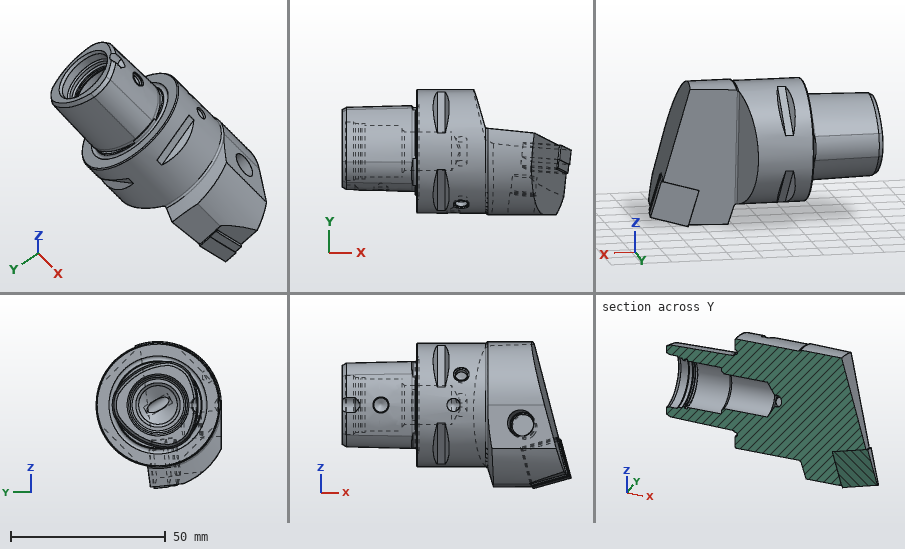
import cadquery as cq
import math


FLANGE_RADIUS = 20.02
FLANGE_END = 22.35
FLANGE_CHAMFER = 0.4
BOSS_RADIUS = 14.2
BOSS_HEIGHT = 0.45
BOSS_CHAMFER = 0.3
RELIEF_RADIUS = 0.8

SHANK_LENGTH = 24.0
SHANK_CHAMFER_LENGTH = 1.4
SHANK_CHAMFER_DEPTH = 0.8
TAPER_END = -1.5
POLYGON_RADIUS = 13.9
POLYGON_LOBE = 0.9
TAPER_PER_SIDE = 1 / 40
LOBE_HALF_ANGLE = 16

ENTRY_RADIUS = 10.0
ENTRY_DEPTH = 1.0
GUIDE_RADIUS = 9.5
GUIDE_DEPTH = 3.7
NECK_RADIUS = 8.95
NECK_DEPTH = 5.3
SEAT_RADIUS = 8.35
SEAT_DEPTH = 19.25
RING_GROOVE_START = 6.45
RING_GROOVE_END = 7.3
BORE_MOUTH_RADIUS = 7.2
BORE_RADIUS = 12.5 / 2
DRILL_TIP_HALF_ANGLE = 59
COOLANT_X = 14.5
BORE_TIP_X = COOLANT_X + 0.6

COOLANT_DIAMETER = 3.55
COOLANT_OVERRUN = 4.45
COOLANT_ANGLE = 30
NOZZLE_DIAMETER = 4.0
NOZZLE_MOUTH_DIAMETER = 5.0
NOZZLE_MOUTH_DEPTH = 0.6
NOZZLE_DEPTH = 2.2
DIMPLE_DIAMETER = 4.2
DIMPLE_X = 12.0
DIMPLE_DEPTH = 0.75
SHANK_HOLE_DIAMETER = 4.6
SHANK_HOLE_MOUTH_DIAMETER = 5.2
SHANK_HOLE_X = -11.5
SHANK_HOLE_DEPTH = 1.5
SHANK_MOUTH_DEPTH = 0.75
KEYWAY_DIAMETER = 5.5
KEYWAY_OFFSET = 13.7
KEYWAY_LENGTH = 4.15
KEYWAY_TIP_HALF_ANGLE = 45

SLOT_X = 8.0
SLOT_FLOOR_WIDTH = 2.5
SLOT_FLOOR_RADIUS = 17.7
SLOT_SIDE_ANGLE = 30

HEAD_RADIUS = 20.5
HEAD_BLEND_RADIUS = 0.75
HEAD_BACK_ANGLE = 17
FLAT_BOTTOM_Z = -14.05
CORNER_RADIUS = 23.7
KEEL_Y = -8.15
KEEL_Z = -25.45
KEEL_END_Y = 4.45
HEAD_REACH = 59.2

RAKE_ANGLE = 6
LEAD_ANGLE = 15
END_FACE_ANGLE = 14.5
NOSE = (50.0, 0.4, -23.6)
INSERT_SIDE = 12.7
INSERT_THICKNESS = 4.7
SHIM_THICKNESS = 3.2
SHIM_INSET = 0.2
SHIM_CHAMFER = 0.45
SHIM_CLEARANCE = 0.3
CHIP_FACE_DEPTH = 0.2
INSERT_OVERHANG = 0.7
SHOULDER_X = 18.4
SHOULDER_ANGLE = 15
SHOULDER_FILLET = 0.75

SCREW_X = 33.7
SCREW_Z = -5.85
SCREW_HOLE_DIAMETER = 8.4
SCREW_DEPTH = 6.65
SCREW_DIAMETER = 7.9
SCREW_TOP_DIAMETER = 7.0
SCREW_LENGTH = 5.9


def rake_plane(origin, turn=0):
    """Plane tilted by the rake in two directions; its normal points into the head, toward -Y."""
    slope = math.tan(math.radians(RAKE_ANGLE))
    normal = cq.Vector(-slope, -1, slope).normalized()
    x_axis = cq.Vector(1, 0, 0)
    x_axis = x_axis - normal * x_axis.dot(normal)
    return cq.Plane(origin, x_axis, normal).rotated((0, 0, turn))


def insert_block(x_range, y_range, depth_range, lead=LEAD_ANGLE):
    """Block in the insert's own directions, measured from the cutting corner."""
    return (
        cq.Workplane(rake_plane(NOSE, lead))
        .workplane(offset=depth_range[0])
        .moveTo(x_range[0], y_range[0])
        .lineTo(x_range[1], y_range[0])
        .lineTo(x_range[1], y_range[1])
        .lineTo(x_range[0], y_range[1])
        .close()
        .extrude(depth_range[1] - depth_range[0])
    )


def revolve_about_x(profile):
    return profile.close().revolve(360, (0, 0, 0), (1, 0, 0))


def tip_length(radius, half_angle=DRILL_TIP_HALF_ANGLE):
    return radius / math.tan(math.radians(half_angle))


def drill(plane, diameter, depth, half_angle=DRILL_TIP_HALF_ANGLE):
    """Blind hole with a drill point, entering along the plane's normal."""
    radius = diameter / 2
    return (
        cq.Workplane(plane)
        .transformed(rotate=(90, 0, 0))
        .lineTo(radius, 0)
        .lineTo(radius, depth)
        .lineTo(0, depth + tip_length(radius, half_angle))
        .close()
        .revolve(360, (0, 0, 0), (0, 1, 0))
    )


def radial_plane(x, radius, elevation=0):
    """Plane at a radius on the -Y side, raised by an elevation, with its normal toward the axis."""
    angle = math.radians(elevation)
    outward = cq.Vector(0, -math.cos(angle), math.sin(angle))
    return cq.Plane(outward * radius + cq.Vector(x, 0, 0), (1, 0, 0), outward * -1)


def polygon_section(x, mean_radius):
    """Three-lobed closed outline at X, made of lobe arcs and flatter side arcs."""
    def point(degrees):
        radius = mean_radius + POLYGON_LOBE * math.cos(math.radians(3 * degrees))
        angle = math.radians(degrees)
        return radius * math.cos(angle), radius * math.sin(angle)

    outline = cq.Workplane("YZ", origin=(x, 0, 0)).moveTo(*point(-LOBE_HALF_ANGLE))
    for lobe in (0, 120, 240):
        outline = outline.threePointArc(point(lobe), point(lobe + LOBE_HALF_ANGLE))
        outline = outline.threePointArc(point(lobe + 60), point(lobe + 120 - LOBE_HALF_ANGLE))
    return outline.close()


def polygon_loft(start, end):
    wires = [polygon_section(*section).wire().val() for section in (start, end)]
    return cq.Workplane(cq.Solid.makeLoft(wires, True))


def shank():
    face_x = -SHANK_LENGTH
    chamfer_x = face_x + SHANK_CHAMFER_LENGTH
    chamfer_radius = POLYGON_RADIUS - (TAPER_END - chamfer_x) * TAPER_PER_SIDE
    nose = polygon_loft((face_x, chamfer_radius - SHANK_CHAMFER_DEPTH), (chamfer_x, chamfer_radius))
    taper = polygon_loft((chamfer_x, chamfer_radius), (TAPER_END, POLYGON_RADIUS))
    root = polygon_section(TAPER_END, POLYGON_RADIUS).extrude(-TAPER_END)
    lobe_height = POLYGON_RADIUS + 2 * POLYGON_LOBE - BOSS_RADIUS
    runout_x = TAPER_END + BOSS_HEIGHT
    lobe_groove = revolve_about_x(
        cq.Workplane("XY")
        .moveTo(0, BOSS_RADIUS)
        .lineTo(runout_x, BOSS_RADIUS)
        .lineTo(runout_x - lobe_height, BOSS_RADIUS + lobe_height)
        .lineTo(0, BOSS_RADIUS + lobe_height)
    )
    return nose.union(taper).union(root).cut(lobe_groove)


def shank_bore():
    """Stepped bore along the axis, from the shank face to its drill point."""
    bore_length = SHANK_LENGTH + BORE_TIP_X
    neck_start = GUIDE_DEPTH + GUIDE_RADIUS - NECK_RADIUS
    neck_end = NECK_DEPTH + NECK_RADIUS - SEAT_RADIUS
    throat = SEAT_DEPTH + BORE_MOUTH_RADIUS - BORE_RADIUS
    return revolve_about_x(
        cq.Workplane("XY", origin=(-SHANK_LENGTH, 0, 0))
        .lineTo(0, ENTRY_RADIUS)
        .lineTo(ENTRY_DEPTH, GUIDE_RADIUS)
        .lineTo(GUIDE_DEPTH, GUIDE_RADIUS)
        .lineTo(neck_start, NECK_RADIUS)
        .lineTo(NECK_DEPTH, NECK_RADIUS)
        .lineTo(neck_end, SEAT_RADIUS)
        .lineTo(RING_GROOVE_START, SEAT_RADIUS)
        .lineTo(RING_GROOVE_START, NECK_RADIUS)
        .lineTo(RING_GROOVE_END, NECK_RADIUS)
        .lineTo(RING_GROOVE_END, SEAT_RADIUS)
        .lineTo(SEAT_DEPTH, SEAT_RADIUS)
        .lineTo(SEAT_DEPTH, BORE_MOUTH_RADIUS)
        .lineTo(throat, BORE_RADIUS)
        .lineTo(bore_length - tip_length(BORE_RADIUS), BORE_RADIUS)
        .lineTo(bore_length, 0)
    )


def flange():
    disc = cq.Workplane("YZ").circle(FLANGE_RADIUS).extrude(FLANGE_END).faces("<X").chamfer(FLANGE_CHAMFER)
    boss = cq.Workplane("YZ").circle(BOSS_RADIUS).extrude(-BOSS_HEIGHT).faces("<X").chamfer(BOSS_CHAMFER)
    relief = (
        cq.Workplane("XY", origin=(0, BOSS_RADIUS + RELIEF_RADIUS, 0))
        .circle(RELIEF_RADIUS)
        .revolve(360, (0, -BOSS_RADIUS - RELIEF_RADIUS, 0), (1, -BOSS_RADIUS - RELIEF_RADIUS, 0))
    )
    return disc.cut(relief).union(boss)


def gripper_slots():
    """Four trapezoidal slots, milled straight across the flange at 45 degrees."""
    height = 2 * (FLANGE_RADIUS - SLOT_FLOOR_RADIUS)
    half_floor = SLOT_FLOOR_WIDTH / 2
    half_top = half_floor + height * math.tan(math.radians(SLOT_SIDE_ANGLE))
    slot = (
        cq.Workplane("XZ", origin=(SLOT_X, 0, SLOT_FLOOR_RADIUS))
        .moveTo(-half_floor, 0)
        .lineTo(half_floor, 0)
        .lineTo(half_top, height)
        .lineTo(-half_top, height)
        .close()
        .extrude(FLANGE_RADIUS, both=True)
    )
    slots = cq.Workplane()
    for angle in (45, 135, 225, 315):
        slots = slots.add(slot.rotate((0, 0, 0), (1, 0, 0), angle))
    return slots.combine()


def head():
    keel_end_z = KEEL_Z - (KEEL_END_Y - KEEL_Y) * math.tan(math.radians(RAKE_ANGLE))
    stock = (
        cq.Workplane("YZ", origin=(FLANGE_END, 0, 0))
        .moveTo(-HEAD_RADIUS, 0)
        .threePointArc((0, HEAD_RADIUS), (HEAD_RADIUS, 0))
        .lineTo(KEEL_END_Y, keel_end_z)
        .lineTo(KEEL_Y, KEEL_Z)
        .radiusArc((-HEAD_RADIUS, FLAT_BOTTOM_Z), CORNER_RADIUS)
        .close()
        .extrude(HEAD_REACH)
    )
    sweep = math.radians(90 - HEAD_BACK_ANGLE)
    blend_mid = (
        FLANGE_END + HEAD_BLEND_RADIUS * math.sin(sweep / 2),
        FLANGE_RADIUS + HEAD_BLEND_RADIUS * (1 - math.cos(sweep / 2)),
    )
    blend_end = (
        FLANGE_END + HEAD_BLEND_RADIUS * math.sin(sweep),
        FLANGE_RADIUS + HEAD_BLEND_RADIUS * (1 - math.cos(sweep)),
    )
    cone_x = blend_end[0] + (HEAD_REACH - blend_end[1]) * math.tan(math.radians(HEAD_BACK_ANGLE))
    envelope = revolve_about_x(
        cq.Workplane("XY")
        .moveTo(FLANGE_END, 0)
        .lineTo(FLANGE_END, FLANGE_RADIUS)
        .threePointArc(blend_mid, blend_end)
        .lineTo(cone_x, HEAD_REACH)
        .lineTo(2 * HEAD_REACH, HEAD_REACH)
        .lineTo(2 * HEAD_REACH, 0)
    )
    return stock.intersect(envelope)


def chip_face_cut():
    """Everything above the chip face and in front of the sloping shoulder."""
    above = insert_block((-HEAD_REACH, HEAD_REACH), (-HEAD_REACH, HEAD_REACH), (-HEAD_REACH, CHIP_FACE_DEPTH))
    lean = 2 * HEAD_REACH * math.tan(math.radians(SHOULDER_ANGLE))
    ahead = (
        cq.Workplane("XY")
        .moveTo(SHOULDER_X - lean / 2, FLANGE_RADIUS + HEAD_REACH)
        .lineTo(SHOULDER_X + lean / 2, FLANGE_RADIUS - HEAD_REACH)
        .lineTo(2 * HEAD_REACH, FLANGE_RADIUS - HEAD_REACH)
        .lineTo(2 * HEAD_REACH, FLANGE_RADIUS + HEAD_REACH)
        .close()
        .extrude(HEAD_REACH / 2, both=True)
        .rotate((0, 0, 0), (1, 0, 0), -RAKE_ANGLE)
    )
    shoulder_root = cq.selectors.NearestToPointSelector((FLANGE_END, 0, 0))
    return above.intersect(ahead).edges(shoulder_root).fillet(SHOULDER_FILLET)


def end_face_cut():
    span = (-HEAD_REACH, HEAD_REACH)
    return insert_block((-INSERT_OVERHANG, HEAD_REACH), span, span, END_FACE_ANGLE)


def lower_relief_cut():
    span = (-HEAD_REACH, HEAD_REACH)
    return insert_block((-INSERT_SIDE, HEAD_REACH), (-HEAD_REACH, INSERT_OVERHANG), span)


def insert():
    """Square cutting insert."""
    return insert_block((-INSERT_SIDE, 0), (0, INSERT_SIDE), (0, INSERT_THICKNESS))


def shim_block(clearance=0.0):
    """Plain block under the insert; the clearance widens its pocket."""
    return insert_block(
        (-INSERT_SIDE, -SHIM_INSET),
        (SHIM_INSET, INSERT_SIDE + clearance),
        (INSERT_THICKNESS, INSERT_THICKNESS + SHIM_THICKNESS),
    )


def shim():
    return shim_block().faces("<Y").chamfer(SHIM_CHAMFER)


def screw_axis_cylinder(diameter, start, end):
    """Cylinder on the screw axis; distances run from the flat toward +Y."""
    plane = rake_plane((SCREW_X, -HEAD_RADIUS, SCREW_Z))
    return cq.Workplane(plane).workplane(offset=-start).circle(diameter / 2).extrude(start - end)


def screw_blank():
    return screw_axis_cylinder(SCREW_DIAMETER, SCREW_DEPTH, SCREW_DEPTH + SCREW_LENGTH)


def clamp_screw():
    return screw_blank().faces("<Y").chamfer((SCREW_DIAMETER - SCREW_TOP_DIAMETER) / 2)


def holder():
    """Shank, flange and head in one piece, with all holes and the seats of the loose bodies."""
    body = shank().union(flange()).union(head())
    body = body.cut(chip_face_cut()).cut(end_face_cut()).cut(lower_relief_cut())
    body = body.cut(shank_bore()).cut(gripper_slots())

    keyway_plane = cq.Plane((-SHANK_LENGTH, -KEYWAY_OFFSET, 0), (0, 1, 0), (1, 0, 0))
    body = body.cut(drill(keyway_plane, KEYWAY_DIAMETER, KEYWAY_LENGTH, KEYWAY_TIP_HALF_ANGLE))
    shank_side = radial_plane(SHANK_HOLE_X, POLYGON_RADIUS - POLYGON_LOBE)
    body = body.cut(drill(shank_side, SHANK_HOLE_DIAMETER, SHANK_HOLE_DEPTH))
    body = body.cut(cq.Workplane(shank_side).circle(SHANK_HOLE_MOUTH_DIAMETER / 2).extrude(SHANK_MOUTH_DEPTH))

    body = body.cut(drill(radial_plane(DIMPLE_X, FLANGE_RADIUS), DIMPLE_DIAMETER, DIMPLE_DEPTH))
    outlet = radial_plane(COOLANT_X, FLANGE_RADIUS, COOLANT_ANGLE)
    body = body.cut(drill(outlet, NOZZLE_DIAMETER, NOZZLE_DEPTH))
    body = body.cut(cq.Workplane(outlet).circle(NOZZLE_MOUTH_DIAMETER / 2).extrude(NOZZLE_MOUTH_DEPTH))
    cross_hole = radial_plane(COOLANT_X, COOLANT_OVERRUN, COOLANT_ANGLE)
    body = body.cut(cq.Workplane(cross_hole).circle(COOLANT_DIAMETER / 2).extrude(2 * COOLANT_OVERRUN))

    body = body.cut(screw_axis_cylinder(SCREW_HOLE_DIAMETER, -SCREW_DEPTH, SCREW_DEPTH))
    return body.cut(screw_blank()).cut(insert()).cut(shim_block(SHIM_CLEARANCE))


result = cq.Compound.makeCompound(
    [holder().val(), insert().val(), shim().val(), clamp_screw().val()]
)